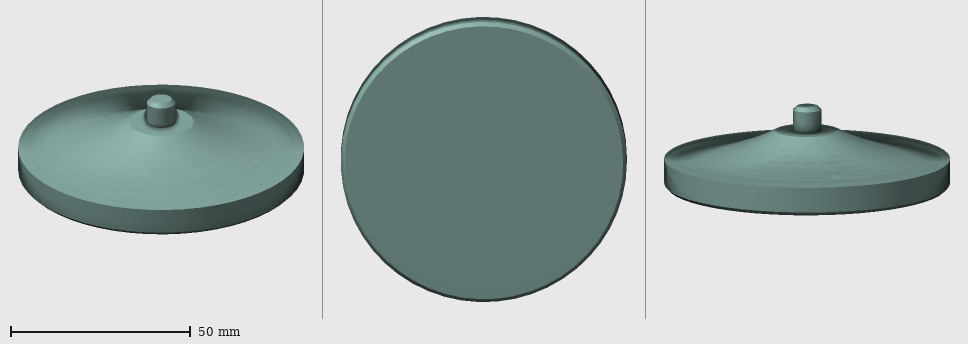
import cadquery as cq
import math

disc_radius = 39.75
disc_height = 8.0
disc_chamfer = 1.0

hub_radius = 9.0
hub_height = 16.0

pin_radius = 4.0
pin_chamfer = 1.0
total_height = 23.0

flank_run = disc_radius - hub_radius
flank_rise = hub_height - disc_height
flank_radius = (flank_run**2 + flank_rise**2) / (2 * flank_rise)
half_sweep = math.asin(flank_run / flank_radius) / 2
flank_middle = (
    disc_radius - flank_radius * math.sin(half_sweep),
    disc_height + flank_radius * (1 - math.cos(half_sweep)),
)

half_section = (
    cq.Workplane("XZ")
    .moveTo(0, 0)
    .lineTo(disc_radius - disc_chamfer, 0)
    .lineTo(disc_radius, disc_chamfer)
    .lineTo(disc_radius, disc_height)
    .threePointArc(flank_middle, (hub_radius, hub_height))
    .lineTo(pin_radius, hub_height)
    .lineTo(pin_radius, total_height - pin_chamfer)
    .lineTo(pin_radius - pin_chamfer, total_height)
    .lineTo(0, total_height)
    .close()
)

result = half_section.revolve(360, (0, 0, 0), (0, 1, 0))